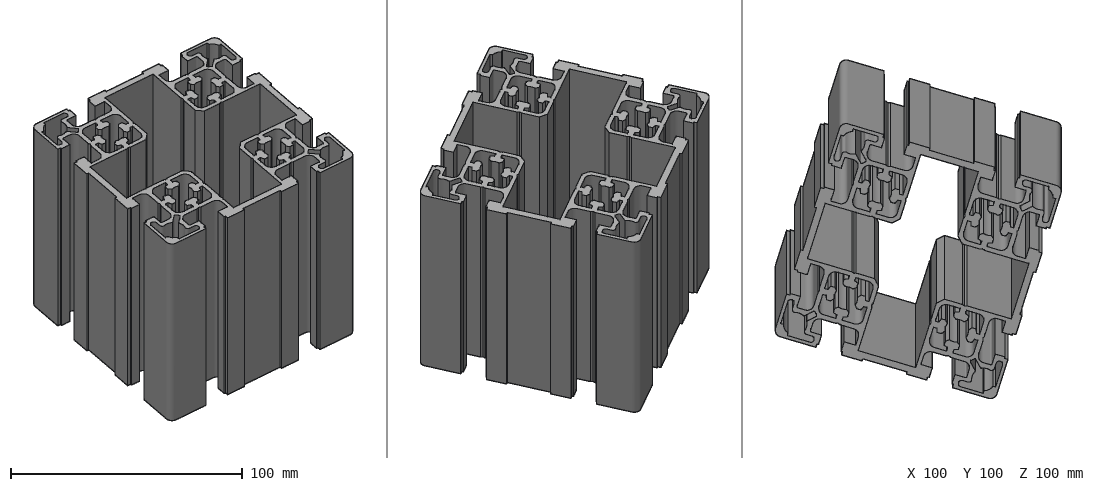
import cadquery as cq
import math


side = 100.0
length = 100.0
half = side / 2
core = half / 2
outer_fillet = 3.0

mouth_width = 11.6
throat_width = 10.2
mouth_depth = 1.5
lip_depth = 6.0
slot_width = 20.6
slot_floor = 12.8
slot_fillet = 3.0
lip_fillet = 0.6

skin = 4.0
cavity_width = 26.0
cavity_chamfer = 2.8
recess_width = 20.0
recess_depth = 1.0

cell_width = 20.0
cell_fillet = 3.0
screw_radius = 5.1
stem_width = 2.8
head_width = 6.4
head_tip_width = 3.6
head_neck_radius = 8.5
head_back_radius = 7.8
head_front_radius = 5.9

bore_centre = 7.5
wall = 1.5
pad_size = 5.8
arm_width = 2.9
arm_end = 17.4
arm_end_fillet = 1.4
chamber_width = 12.3
chamber_fillet = 1.3
relief_width = 2.6
relief_end = 14.6
relief_fillet = 0.5

mark_width = 2.0
mark_depth = 0.4


def prism(points):
    return cq.Workplane("XY").polyline(points).close().extrude(length)


def block(x_min, x_max, y_min, y_max):
    return prism([(x_min, y_min), (x_max, y_min), (x_max, y_max), (x_min, y_max)])


def swap_axes(tool):
    """Mirror a tool about the diagonal of the quarter."""
    return tool.mirror("XZ").rotate((0, 0, 0), (0, 0, 1), 90)


def both_sides(tool):
    return tool.union(swap_axes(tool))


def four_times(tool, centre):
    """Repeat a tool every 90 degrees about a vertical axis."""
    start = (centre, centre, 0)
    end = (centre, centre, 1)
    repeated = tool
    for turn in range(1, 4):
        repeated = repeated.union(tool.rotate(start, end, 90 * turn))
    return repeated


def t_slot():
    """T-slot opening through the y = 0 side."""
    chamber = block(core - slot_width / 2, core + slot_width / 2, lip_depth, slot_floor)
    chamber = chamber.edges("|Z and >Y").fillet(slot_fillet)
    chamber = chamber.edges("|Z and <Y and <X").fillet(lip_fillet)
    throat = block(core - throat_width / 2, core + throat_width / 2, 0, lip_depth)
    mouth = block(core - mouth_width / 2, core + mouth_width / 2, 0, mouth_depth)
    return chamber.union(throat).union(mouth)


def centre_mark(surface, depth):
    """V-groove on the slot centreline, cut from y = surface by a signed depth."""
    return prism([
        (core - mark_width / 2, surface),
        (core + mark_width / 2, surface),
        (core, surface + depth),
    ])


def screw_knob():
    """Mushroom-shaped knob on the y-min wall of the core."""
    tip_x = head_tip_width / 2
    tip_y = math.sqrt(screw_radius ** 2 - tip_x ** 2)
    head_x = head_width / 2
    stem_x = stem_width / 2
    wall_radius = cell_width / 2
    return (
        cq.Workplane("XY", origin=(core, core, 0))
        .moveTo(-stem_x, -wall_radius)
        .lineTo(-stem_x, -head_neck_radius)
        .lineTo(-head_x, -head_back_radius)
        .lineTo(-head_x, -head_front_radius)
        .lineTo(-tip_x, -tip_y)
        .threePointArc((0, -screw_radius), (tip_x, -tip_y))
        .lineTo(head_x, -head_front_radius)
        .lineTo(head_x, -head_back_radius)
        .lineTo(stem_x, -head_neck_radius)
        .lineTo(stem_x, -wall_radius)
        .close()
        .extrude(length)
    )


def core_hollow():
    start = core - cell_width / 2
    end = core + cell_width / 2
    cell = block(start, end, start, end).edges("|Z").fillet(cell_fillet)
    return cell.cut(four_times(screw_knob(), core))


def corner_chamber():
    arm = block(pad_size, arm_end, wall, wall + arm_width)
    arm = arm.edges("|Z and >X").fillet(arm_end_fillet)
    room = arm.union(block(pad_size, chamber_width, wall, bore_centre))
    lip_root = (chamber_width, wall + arm_width, length / 2)
    room = room.edges(cq.selectors.NearestToPointSelector(lip_root)).fillet(chamber_fillet)

    bore = cq.Workplane("XY").center(bore_centre, bore_centre).circle(screw_radius).extrude(length)

    relief_start = bore_centre * math.sqrt(2)
    relief_stop = relief_end * math.sqrt(2)
    relief = block(relief_start, relief_stop, -relief_width / 2, relief_width / 2)
    relief = relief.edges("|Z and >X").fillet(relief_fillet)
    relief = relief.rotate((0, 0, 0), (0, 0, 1), 45)
    return both_sides(room).union(bore).union(relief)


def quarter_hollows():
    cavity_wall = half - cavity_width / 2
    slot_side = (
        t_slot()
        .union(centre_mark(slot_floor, mark_depth))
        .union(centre_mark(cavity_wall, -mark_depth))
    )
    return both_sides(slot_side).union(core_hollow()).union(corner_chamber())


def cross_cavity():
    reach = half - skin
    arm = cavity_width / 2
    cut_back = arm + cavity_chamfer
    outline = []
    for sx, sy in ((1, 1), (-1, 1), (-1, -1), (1, -1)):
        corner = [
            (sx * reach, sy * arm),
            (sx * cut_back, sy * arm),
            (sx * arm, sy * cut_back),
            (sx * arm, sy * reach),
        ]
        outline += corner if sx * sy > 0 else corner[::-1]
    return prism(outline)


bar = cq.Workplane("XY").rect(side, side).extrude(length).edges("|Z").fillet(outer_fillet)
side_recess = block(-recess_width / 2, recess_width / 2, -half, recess_depth - half)
hollows = quarter_hollows().translate((-half, -half, 0))

result = bar.cut(cross_cavity())
result = result.cut(four_times(side_recess, 0))
result = result.cut(four_times(hollows, 0))